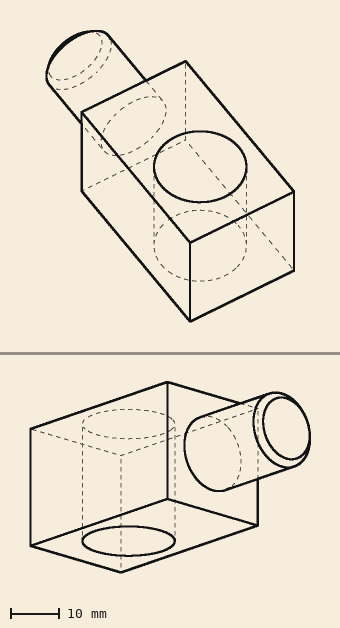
import cadquery as cq

total_length = 63.75
block_side = 25.4
block_length = 41.45
shank_diameter = 15.9
shank_chamfer = 1.4
hole_diameter = 19.0
hole_to_block_end = 16.0

shank_length = total_length - block_length


def make_block():
    """Square block starting at the shoulder plane X = 0."""
    return cq.Workplane("XY").box(block_length, block_side, block_side, centered=(False, True, True))


def make_shank():
    """Round shank along -X with a chamfered free end."""
    shank = cq.Workplane("YZ").circle(shank_diameter / 2).extrude(-shank_length)
    return shank.faces("<X").chamfer(shank_chamfer)


def make_cross_hole():
    """Vertical through-hole cutter near the far end of the block."""
    hole_x = block_length - hole_to_block_end
    return (
        cq.Workplane("XY", origin=(0, 0, -block_side / 2))
        .center(hole_x, 0)
        .circle(hole_diameter / 2)
        .extrude(block_side)
    )


result = make_block().union(make_shank()).cut(make_cross_hole())